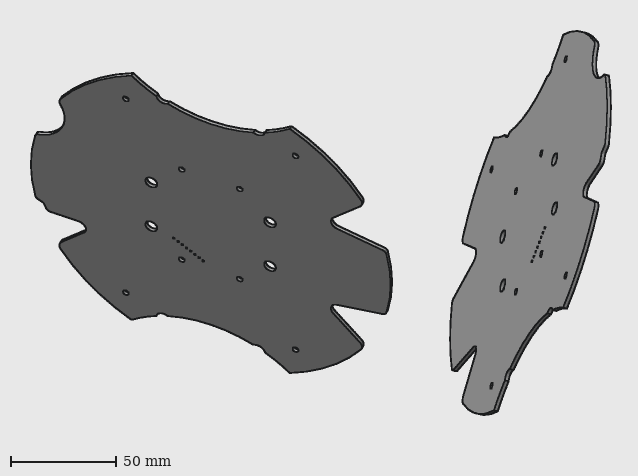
import math

import cadquery as cq

thickness = 2.0
disc_radius = 94.3

scallop_depth_z = 69.55
scallop_radius = 64.5
relief_radius = 3.85
relief_x = 24.6
relief_z = 76.8

flank_offset = 31.2
lobe_flank_angle = 10.0
lobe_corner_z = 21.85
lobe_corner_x = 92.0
cutter_reach = 110.0

level_flank_z = -28.65
step_outer_x = -87.5
step_inner_x = -85.7
step_top_z = -24.1
step_slope_angle = 25.0

bite_radius = 17.6
bite_x = -94.2
bite_z = 39.4

notch_root_radius = 3.9
wing_tip_radius = 4.0
lobe_corner_radius = 2.4
step_outer_radius = 2.8
step_inner_radius = 1.0

mount_hole = (3.0, 44.45, 67.1)
inner_hole = (3.0, 15.2, 31.2)
large_hole = (6.2, 31.1, 15.17)

pin_diameter = 0.9
pin_pitch = 2.54
pin_count = 8
pin_row_angle = -30.0
pin_row_distance = 10 * pin_pitch
pin_row_start = -3 * pin_pitch


def xz_plane():
    """Sketch plane with local x along X and local y along Z; negative extrusions go toward +Y."""
    return cq.Workplane(cq.Plane(origin=(0, 0, 0), xDir=(1, 0, 0), normal=(0, -1, 0)))


def cylinder(x, z, radius):
    return xz_plane().center(x, z).circle(radius).extrude(-thickness)


def prism(points):
    return xz_plane().polyline(points).close().extrude(-thickness)


def round_corner(plate, x, z, radius):
    """Round the edge through the thickness that lies nearest to (x, z)."""
    corner = cq.selectors.NearestToPointSelector((x, thickness / 2, z))
    return plate.edges("|Y").edges(corner).fillet(radius)


def cut_scallops(plate):
    scallop_z = scallop_depth_z + scallop_radius
    for side in (1, -1):
        plate = plate.cut(cylinder(0, side * scallop_z, scallop_radius))
        for x in (-relief_x, relief_x):
            plate = plate.cut(cylinder(x, side * relief_z, relief_radius))
    return plate


def wing_tip():
    """|x| and |z| where the 45 degree flank meets the disc's rim."""
    half_offset = flank_offset / 2
    half_sum = math.sqrt(disc_radius**2 / 2 - half_offset**2)
    return half_sum + half_offset, half_sum - half_offset


def cut_right_notches(plate):
    slope = math.tan(math.radians(lobe_flank_angle))
    root_x = (lobe_corner_z + flank_offset + slope * lobe_corner_x) / (1 + slope)
    root_z = root_x - flank_offset
    outer_low_z = root_z - slope * (cutter_reach - root_x)
    outer_high_z = cutter_reach - flank_offset
    tip_x, tip_z = wing_tip()
    for side in (1, -1):
        plate = plate.cut(
            prism(
                [
                    (root_x, side * root_z),
                    (cutter_reach, side * outer_low_z),
                    (cutter_reach, side * outer_high_z),
                ]
            )
        )
        plate = round_corner(plate, root_x, side * root_z, notch_root_radius)
        plate = round_corner(plate, tip_x, side * tip_z, wing_tip_radius)
        plate = round_corner(plate, lobe_corner_x, side * lobe_corner_z, lobe_corner_radius)
    return plate


def cut_lower_left_notch(plate):
    root_x = level_flank_z - flank_offset
    step_rise = (cutter_reach + step_outer_x) * math.tan(math.radians(step_slope_angle))
    tip_x, tip_z = wing_tip()
    plate = plate.cut(
        prism(
            [
                (root_x, level_flank_z),
                (step_inner_x, level_flank_z),
                (step_outer_x, step_top_z),
                (-cutter_reach, step_top_z + step_rise),
                (-cutter_reach, flank_offset - cutter_reach),
            ]
        )
    )
    plate = round_corner(plate, root_x, level_flank_z, notch_root_radius)
    plate = round_corner(plate, -tip_x, -tip_z, wing_tip_radius)
    plate = round_corner(plate, step_inner_x, level_flank_z, step_outer_radius)
    plate = round_corner(plate, step_outer_x, step_top_z, step_inner_radius)
    return round_corner(plate, -lobe_corner_x, -lobe_corner_z, lobe_corner_radius)


def cut_bite(plate):
    tip_x, tip_z = wing_tip()
    plate = plate.cut(cylinder(bite_x, bite_z, bite_radius))
    plate = round_corner(plate, -tip_x, tip_z, wing_tip_radius)
    return round_corner(plate, -lobe_corner_x, lobe_corner_z, lobe_corner_radius)


def drill_mirrored(plate, hole):
    diameter, x, z = hole
    for side_x in (-x, x):
        for side_z in (-z, z):
            plate = plate.cut(cylinder(side_x, side_z, diameter / 2))
    return plate


def drill_pin_row(plate):
    cos_row = math.cos(math.radians(pin_row_angle))
    sin_row = math.sin(math.radians(pin_row_angle))
    for index in range(pin_count):
        along = pin_row_start + index * pin_pitch
        x = along * cos_row + pin_row_distance * sin_row
        z = along * sin_row - pin_row_distance * cos_row
        plate = plate.cut(cylinder(x, z, pin_diameter / 2))
    return plate


plate = cylinder(0, 0, disc_radius)
plate = cut_scallops(plate)
plate = cut_right_notches(plate)
plate = cut_lower_left_notch(plate)
plate = cut_bite(plate)
for hole in (mount_hole, inner_hole, large_hole):
    plate = drill_mirrored(plate, hole)
result = drill_pin_row(plate)